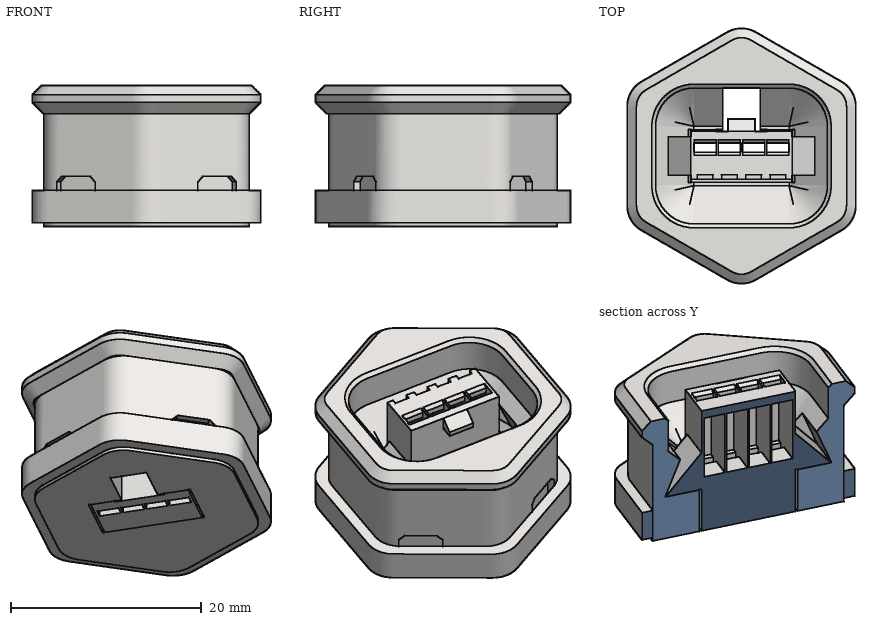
import cadquery as cq
import math

FLANGE_FLATS = 24.0
HEX_CORNER_R = 3.0
TOTAL_H = 14.8
FLANGE_TOP_CHAMFER = 1.0
FLANGE_RIM_H = 0.8
FLANGE_UNDER_CHAMFER = 1.2
BARREL_FLATS = FLANGE_FLATS - 2 * FLANGE_UNDER_CHAMFER
RING_BOTTOM_Z = 0.4
RING_H = 3.4
RING_TOP_Z = RING_BOTTOM_Z + RING_H

SOCKET_X = 18.0
SOCKET_Y = 14.25
SOCKET_R = 4.02
SOCKET_DEPTH = 4.15
SOCKET_RIM_CHAMFER = 0.4
FUNNEL_TOP_Z = TOTAL_H - SOCKET_DEPTH
FLOOR_Z = FUNNEL_TOP_Z - SOCKET_R
FLOOR_X = SOCKET_X - 2 * SOCKET_R
FLOOR_Y = SOCKET_Y - 2 * SOCKET_R
CONNECTOR_HOLE_X = 11.05
CONNECTOR_HOLE_Y = 5.52
LATCH_SLOT_W = 3.9

POCKET_W = 4.6
POCKET_H = 1.47
POCKET_DEPTH = 0.75
POCKET_CHAMFER = 0.6

CONN_W = 10.6
CONN_FRONT_Y = -2.46
CONN_BACK_Y = 2.57
FOOT_H = 3.0
FOOT_NOTCH_W = 5.35
CELL_COUNT = 4
CELL_PITCH = 2.55
GROOVE_W = 1.6
GROOVE_DEPTH = 0.5
GROOVE_FLOOR_Z = 9.95
CHAMBER_ROOF_Z = 13.8
CHAMBER_BACK_Y = 1.93
CHAMBER_FLOOR_Z = FLOOR_Z
ENTRY_W = 2.3
ENTRY_FRONT_Y = 0.4
ENTRY_BACK_Y = 1.35
ENTRY_FLARE = 0.35
LATCH_W = 2.85
LATCH_REACH = 1.3
LATCH_ANGLE = 36.0
LATCH_TIP_H = 0.54

WING_W = 4.07
WING_TOP_Z = 9.65
WING_ANGLE = 48.0
RECESS_EDGE_X = 7.65
RECESS_LEAN = 22.0
RECESS_EDGE_Z = FLOOR_Z + RECESS_EDGE_X - FLOOR_X / 2
WING_ROOT_X = CONN_W / 2
WING_FALL = math.tan(math.radians(WING_ANGLE))
RECESS_WALL_FALL = 1 / math.tan(math.radians(RECESS_LEAN))
WING_Z_UNDER_EDGE = WING_TOP_Z - WING_FALL * (RECESS_EDGE_X - WING_ROOT_X)
WING_TIP_X = RECESS_EDGE_X + (RECESS_EDGE_Z - WING_Z_UNDER_EDGE) / (RECESS_WALL_FALL - WING_FALL)
WING_TIP_Z = WING_TOP_Z - WING_FALL * (WING_TIP_X - WING_ROOT_X)

GROOVE_BACK_Y = CONN_FRONT_Y + GROOVE_DEPTH
CELL_X = [(i - (CELL_COUNT - 1) / 2) * CELL_PITCH for i in range(CELL_COUNT)]


def block(x0, x1, y0, y1, z0, z1):
    return cq.Workplane("XY").box(x1 - x0, y1 - y0, z1 - z0, centered=False).translate((x0, y0, z0))


def hex_prism(flats, z0, height):
    circumscribed = flats / math.cos(math.radians(30))
    prism = cq.Workplane("XY").polygon(6, circumscribed).extrude(height)
    return prism.rotate((0, 0, 0), (0, 0, 1), 30).edges("|Z").fillet(HEX_CORNER_R).translate((0, 0, z0))


def prism_along_y(points, width):
    """Prism with an X-Z outline, centred on y = 0."""
    return cq.Workplane("XZ").polyline(points).close().extrude(width / 2, both=True)


def prism_along_x(points, width):
    """Prism with a Y-Z outline, centred on x = 0."""
    return cq.Workplane("YZ").polyline(points).close().extrude(width / 2, both=True)


def housing_blank():
    flange_h = FLANGE_TOP_CHAMFER + FLANGE_RIM_H + FLANGE_UNDER_CHAMFER
    flange = hex_prism(FLANGE_FLATS, TOTAL_H - flange_h, flange_h)
    flange = flange.faces(">Z").chamfer(FLANGE_TOP_CHAMFER)
    flange = flange.faces("<Z").chamfer(FLANGE_UNDER_CHAMFER)
    return flange.union(hex_prism(BARREL_FLATS, 0, TOTAL_H - flange_h))


def funnel():
    """45 degree funnel from the sharp floor rectangle to the rounded socket outline."""
    x_low, x_high = FLOOR_X / 2, SOCKET_X / 2
    y_low, y_high = FLOOR_Y / 2, SOCKET_Y / 2
    z_low, z_high = FLOOR_Z, FUNNEL_TOP_Z
    sides = prism_along_y([(-x_low, z_low), (x_low, z_low), (x_high, z_high), (-x_high, z_high)], FLOOR_Y)
    ends = prism_along_x([(-y_low, z_low), (y_low, z_low), (y_high, z_high), (-y_high, z_high)], FLOOR_X)
    cavity = sides.union(ends)
    for sx in (-1, 1):
        for sy in (-1, 1):
            cone = cq.Solid.makeCone(0, SOCKET_R, SOCKET_R, cq.Vector(sx * x_low, sy * y_low, z_low))
            cavity = cavity.union(cq.Workplane(cone))
    return cavity


def socket():
    bore = cq.Workplane("XY").rect(SOCKET_X, SOCKET_Y).extrude(SOCKET_DEPTH)
    bore = bore.edges("|Z").fillet(SOCKET_R).translate((0, 0, FUNNEL_TOP_Z))
    outer_x, outer_y = SOCKET_X + 2 * SOCKET_RIM_CHAMFER, SOCKET_Y + 2 * SOCKET_RIM_CHAMFER
    rim = cq.Workplane("XY").rect(outer_x, outer_y).extrude(2 * SOCKET_RIM_CHAMFER)
    rim = rim.edges("|Z").fillet(SOCKET_R + SOCKET_RIM_CHAMFER)
    rim = rim.faces("<Z").chamfer(SOCKET_RIM_CHAMFER).translate((0, 0, TOTAL_H - SOCKET_RIM_CHAMFER))
    return bore.union(rim).union(funnel())


def barrel_pocket():
    """Pocket in the slanted face towards -X, -Y, with its two upper corners cut off."""
    z0, z1 = RING_BOTTOM_Z, RING_TOP_Z + POCKET_H
    profile = [
        (0, z0),
        (0, z1 - POCKET_CHAMFER),
        (POCKET_CHAMFER, z1),
        (POCKET_W - POCKET_CHAMFER, z1),
        (POCKET_W, z1 - POCKET_CHAMFER),
        (POCKET_W, z0),
    ]
    cutter = cq.Workplane("XZ").polyline([(-x, z) for x, z in profile]).close().extrude(2 * POCKET_DEPTH)
    cutter = cutter.translate((0, POCKET_DEPTH - BARREL_FLATS / 2, 0))
    return cutter.rotate((0, 0, 0), (0, 0, 1), -30)


def wing():
    """Wedge on the +X side of the connector; its tip meets the leaning recess wall."""
    return prism_along_y([(WING_ROOT_X, WING_TIP_Z), (WING_TIP_X, WING_TIP_Z), (WING_ROOT_X, WING_TOP_Z)], WING_W)


def wing_recess():
    """Undercut recess in the +X side of the funnel that takes the wing."""
    return prism_along_y(
        [
            (WING_ROOT_X, WING_TIP_Z),
            (WING_TIP_X, WING_TIP_Z),
            (RECESS_EDGE_X, RECESS_EDGE_Z),
            (WING_ROOT_X, RECESS_EDGE_Z),
        ],
        WING_W,
    )


def make_housing():
    body = housing_blank().cut(socket())
    hx, hy = CONNECTOR_HOLE_X / 2, CONNECTOR_HOLE_Y / 2
    body = body.cut(block(-hx, hx, -hy, hy, 0, FUNNEL_TOP_Z))
    body = body.cut(block(-LATCH_SLOT_W / 2, LATCH_SLOT_W / 2, 0, SOCKET_Y / 2, 0, FUNNEL_TOP_Z))
    pocket = barrel_pocket()
    recess = wing_recess()
    pocket_pair = pocket.union(pocket.mirror("YZ"))
    body = body.cut(pocket_pair).cut(pocket_pair.mirror("XZ"))
    return body.cut(recess).cut(recess.mirror("YZ"))


def make_ring():
    return hex_prism(FLANGE_FLATS, RING_BOTTOM_Z, RING_H).cut(hex_prism(BARREL_FLATS, RING_BOTTOM_Z, RING_H))


def foot():
    hy = CONNECTOR_HOLE_Y / 2
    base = block(-CONN_W / 2, CONN_W / 2, -hy, hy, 0, FOOT_H)
    return base.cut(block(-FOOT_NOTCH_W / 2, FOOT_NOTCH_W / 2, CONN_BACK_Y, hy, 0, FOOT_H))


def latch():
    tip_y = CONN_BACK_Y + LATCH_REACH
    tip_z = TOTAL_H - LATCH_REACH * math.tan(math.radians(LATCH_ANGLE))
    return prism_along_x(
        [
            (CONN_BACK_Y, TOTAL_H),
            (tip_y, tip_z),
            (tip_y, tip_z - LATCH_TIP_H),
            (CONN_BACK_Y, tip_z - LATCH_TIP_H),
        ],
        LATCH_W,
    )


def contact_cell():
    """Groove, inner chamber and flared wire entry of one contact, centred on x = 0."""
    groove_half, entry_half = GROOVE_W / 2, ENTRY_W / 2
    groove = block(-groove_half, groove_half, CONN_FRONT_Y, GROOVE_BACK_Y, GROOVE_FLOOR_Z, TOTAL_H)
    chamber = block(-entry_half, entry_half, GROOVE_BACK_Y, CHAMBER_BACK_Y, CHAMBER_FLOOR_Z, CHAMBER_ROOF_Z)
    flare_z = TOTAL_H - ENTRY_FLARE
    entry = prism_along_x(
        [
            (ENTRY_FRONT_Y, 0),
            (ENTRY_FRONT_Y, flare_z),
            (ENTRY_FRONT_Y - ENTRY_FLARE, TOTAL_H),
            (ENTRY_BACK_Y + ENTRY_FLARE, TOTAL_H),
            (ENTRY_BACK_Y, flare_z),
            (ENTRY_BACK_Y, 0),
        ],
        ENTRY_W,
    )
    return groove.union(chamber).union(entry)


def make_connector():
    body = block(-CONN_W / 2, CONN_W / 2, CONN_FRONT_Y, CONN_BACK_Y, 0, TOTAL_H)
    right_wing = wing()
    body = body.union(foot()).union(latch()).union(right_wing).union(right_wing.mirror("YZ"))
    for x in CELL_X:
        body = body.cut(contact_cell().translate((x, 0, 0)))
    return body


housing = make_housing()
ring = make_ring()
connector = make_connector()
result = cq.Compound.makeCompound([housing.val(), ring.val(), connector.val()])